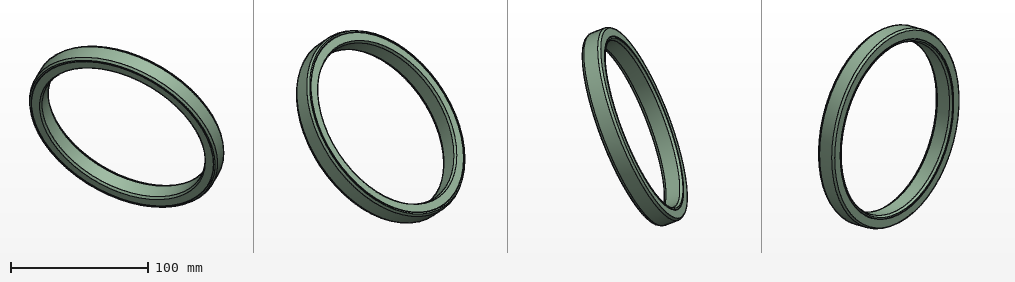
import cadquery as cq
import math

outer_radius = 75.0
bore_radius = 65.0
ring_width = 15.0
half_width = ring_width / 2

sleeve_thickness = 2.2
running_gap = 0.3

chamfer_length = 2.0
chamfer_angle = 30.0
chamfer_depth = chamfer_length * math.tan(math.radians(chamfer_angle))


def l_section_ring(sleeve_radius, opposite_sleeve_radius, flange_side):
    """Ring with a chamfered sleeve at sleeve_radius and a flange reaching toward the other ring's sleeve.

    flange_side is 1 for a flange on the +Y half and -1 for one on the -Y half.
    """
    inward = math.copysign(1, opposite_sleeve_radius - sleeve_radius)
    face_radius = sleeve_radius + inward * chamfer_depth
    flange_root_radius = sleeve_radius + inward * sleeve_thickness
    flange_tip_radius = opposite_sleeve_radius - inward * (sleeve_thickness + running_gap)

    flange_face = flange_side * half_width
    flange_back = flange_side * running_gap / 2
    chamfer_start = flange_side * (half_width - chamfer_length)

    section = (
        cq.Workplane("XY")
        .moveTo(face_radius, flange_face)
        .lineTo(flange_tip_radius, flange_face)
        .lineTo(flange_tip_radius, flange_back)
        .lineTo(flange_root_radius, flange_back)
        .lineTo(flange_root_radius, -flange_face)
        .lineTo(face_radius, -flange_face)
        .lineTo(sleeve_radius, -chamfer_start)
        .lineTo(sleeve_radius, chamfer_start)
        .close()
    )
    return section.revolve(360, (0, 0, 0), (0, 1, 0))


outer_ring = l_section_ring(outer_radius, bore_radius, flange_side=1)

inner_ring = l_section_ring(bore_radius, outer_radius, flange_side=-1)

result = cq.Compound.makeCompound([outer_ring.val(), inner_ring.val()])